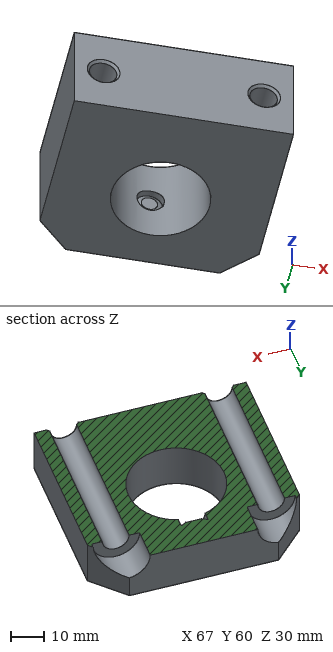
import cadquery as cq

width = 67.0
depth = 60.0
height = 30.0
corner_chamfer = 10.0

bore_diameter = 30.0
bore_from_front = 34.0

bolt_spacing = 49.05
bolt_hole_diameter = 8.4
bolt_mouth_diameter = 10.0
counterbore_diameter = 15.0
counterbore_depth = 10.0

pocket_diameter = 8.4
cone_tip_diameter = 4.95
cone_tip_from_bore = 1.2
cone_height = 0.9

front_y = -depth / 2
back_y = depth / 2
bore_y = front_y + bore_from_front


def cylinder_along_y(diameter, x, start_y, length):
    """Cylinder at mid height, running from start_y toward +Y."""
    return cq.Workplane(cq.Solid.makeCylinder(
        diameter / 2, length, cq.Vector(x, start_y, 0), cq.Vector(0, 1, 0)))


def make_block():
    return cq.Workplane("XY").box(width, depth, height).edges("|Z and >Y").chamfer(corner_chamfer)


def bolt_hole(x):
    """Through hole with a 45 degree mouth in front and a counterbore at the back."""
    mouth_depth = (bolt_mouth_diameter - bolt_hole_diameter) / 2
    mouth = cq.Workplane(cq.Solid.makeCone(
        bolt_mouth_diameter / 2, bolt_hole_diameter / 2, mouth_depth,
        cq.Vector(x, front_y, 0), cq.Vector(0, 1, 0)))
    hole = cylinder_along_y(bolt_hole_diameter, x, front_y, depth)
    counterbore = cylinder_along_y(
        counterbore_diameter, x, back_y - counterbore_depth, counterbore_depth)
    return hole.union(mouth).union(counterbore)


def make_bore():
    circle = cq.Workplane("XY").center(0, bore_y).circle(bore_diameter / 2)
    return circle.extrude(height / 2, both=True)


def wall_pocket():
    """Round pocket opening into the bore, leaving a cone that meets its wall at the floor."""
    tip_y = bore_y + bore_diameter / 2 + cone_tip_from_bore
    floor_y = tip_y + cone_height
    pocket = cylinder_along_y(pocket_diameter, 0, bore_y, floor_y - bore_y)
    cone = cq.Workplane(cq.Solid.makeCone(
        cone_tip_diameter / 2, pocket_diameter / 2, cone_height,
        cq.Vector(0, tip_y, 0), cq.Vector(0, 1, 0)))
    return pocket.cut(cone)


result = make_block().cut(make_bore()).cut(wall_pocket())
for side in (-1, 1):
    result = result.cut(bolt_hole(side * bolt_spacing / 2))